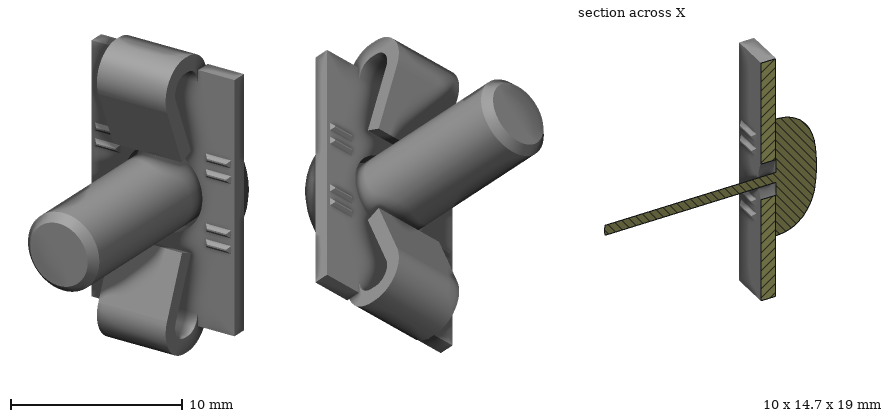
import cadquery as cq
import math


plate_width = 10.0
plate_height = 16.5
sheet = 1.0
hole_diameter = 5.51

overall_height = 19.0
arm_width = 4.8
notch_width = 4.92
bend_inner = 1.0
bend_outer = bend_inner + sheet
bend_z = overall_height / 2 - bend_outer
bend_flat = 0.35
arm_angle = math.radians(22.5)
arm_length = 4.12

tooth_length = 1.77
tooth_width = 0.51
tooth_height = 0.2
tooth_x = 3.88
tooth_rows = (1.75, 2.75)

shank_diameter = 5.0
screw_length = 12.0
tip_chamfer = 0.5
head_diameter = 9.5
head_height = 2.74
head_rim = 0.1
head_flat_diameter = 5.0


def make_spring_arm():
    """Upper arm: two quarter bends over the plate edge, then a leaning straight end."""
    near_y = -bend_inner
    far_y = near_y - bend_flat

    def on_far_bend(radius, angle):
        """Point (Y, Z) on the far bend; angle is measured up from the -Y direction."""
        return (far_y - radius * math.cos(angle), bend_z + radius * math.sin(angle))

    def on_near_bend(radius):
        """Middle point (Y, Z) of the near quarter bend."""
        return (near_y + radius * math.cos(math.pi / 4), bend_z + radius * math.sin(math.pi / 4))

    def free_end(radius):
        """End corner (Y, Z) of the straight part that leaves the far bend tangentially."""
        y, z = on_far_bend(radius, -arm_angle)
        return (y + arm_length * math.sin(arm_angle), z - arm_length * math.cos(arm_angle))

    mid_angle = (math.pi / 2 - arm_angle) / 2
    return (
        cq.Workplane("YZ")
        .moveTo(near_y + bend_outer, bend_z)
        .threePointArc(on_near_bend(bend_outer), (near_y, bend_z + bend_outer))
        .lineTo(far_y, bend_z + bend_outer)
        .threePointArc(on_far_bend(bend_outer, mid_angle), on_far_bend(bend_outer, -arm_angle))
        .lineTo(*free_end(bend_outer))
        .lineTo(*free_end(bend_inner))
        .lineTo(*on_far_bend(bend_inner, -arm_angle))
        .threePointArc(on_far_bend(bend_inner, mid_angle), (far_y, bend_z + bend_inner))
        .lineTo(near_y, bend_z + bend_inner)
        .threePointArc(on_near_bend(bend_inner), (near_y + bend_inner, bend_z))
        .close()
        .extrude(arm_width / 2, both=True)
    )


def make_tooth(x, z):
    """Low bar with 45 degree flanks, standing on the clip side of the plate."""
    return (
        cq.Workplane("XZ")
        .center(x, z)
        .rect(tooth_length, tooth_width)
        .extrude(tooth_height, taper=45)
    )


def make_clip_plate():
    plate = cq.Workplane("XY").box(plate_width, sheet, plate_height).translate((0, sheet / 2, 0))

    notch_depth = plate_height / 2 - bend_z
    notch = cq.Workplane("XY").box(notch_width, sheet, notch_depth)
    for side in (-1, 1):
        plate = plate.cut(notch.translate((0, sheet / 2, side * (bend_z + notch_depth / 2))))

    hole = cq.Workplane("XZ").circle(hole_diameter / 2).extrude(-sheet)
    plate = plate.cut(hole)

    upper_arm = make_spring_arm()
    plate = plate.union(upper_arm).union(upper_arm.mirror("XY"))

    for x in (-tooth_x, tooth_x):
        for row in tooth_rows:
            for z in (-row, row):
                plate = plate.union(make_tooth(x, z))
    return plate


def make_screw():
    """Half profile turned about the Y axis, with the head resting on the plate."""
    shank_radius = shank_diameter / 2
    head_radius = head_diameter / 2
    head_flat_radius = head_flat_diameter / 2
    tip_y = sheet - screw_length
    rim_y = sheet + head_rim
    top_y = sheet + head_height
    return (
        cq.Workplane("XY")
        .moveTo(0, tip_y)
        .lineTo(shank_radius - tip_chamfer, tip_y)
        .lineTo(shank_radius, tip_y + tip_chamfer)
        .lineTo(shank_radius, sheet)
        .lineTo(head_radius, sheet)
        .lineTo(head_radius, rim_y)
        .tangentArcPoint((head_flat_radius, top_y), relative=False)
        .lineTo(0, top_y)
        .close()
        .revolve(360, (0, 0, 0), (0, 1, 0))
    )


clip_plate = make_clip_plate()
screw = make_screw()

result = cq.Compound.makeCompound([clip_plate.val(), screw.val()])